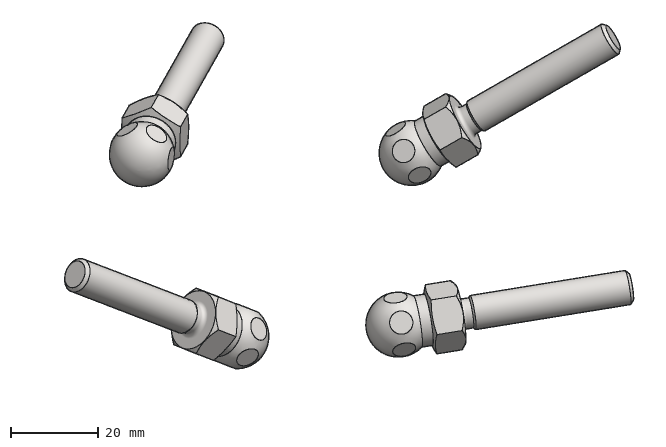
import cadquery as cq
import math

total_length = 62.0
across_flats = 14.0
ball_radius = 7.5
neck_radius = 6.0
hex_front = 14.5
hex_back = 22.0
front_chamfer_radius = 6.1
front_chamfer_depth = 0.7
back_chamfer_radius = 6.95
back_chamfer_depth = 0.9
undercut_radius = 3.55
undercut_fillet = 1.0
shank_diameter = 8.0
shank_start = 24.5
shank_tip_chamfer = 0.8

across_corners = across_flats / math.cos(math.radians(30))
corner_radius = across_corners / 2
ball_neck_y = ball_radius + math.sqrt(ball_radius**2 - neck_radius**2)
shank_radius = shank_diameter / 2
shank_root_chamfer = shank_radius - undercut_radius


def hex_prism(start, end):
    """Hexagonal bar along Y with corners at the top and bottom."""
    section = cq.Workplane("XZ", origin=(0, start, 0)).transformed(rotate=(0, 0, 90))
    return section.polygon(6, across_corners).extrude(start - end)


def revolve_about_y(profile):
    return profile.close().revolve(360, (0, 0, 0), (0, 1, 0))


ball_mid_angle = math.radians(45)
ball_mid = (
    ball_radius * math.sin(ball_mid_angle),
    ball_radius * (1 - math.cos(ball_mid_angle)),
)
ball = revolve_about_y(
    cq.Workplane("XY")
    .moveTo(0, 0)
    .threePointArc(ball_mid, (neck_radius, ball_neck_y))
    .lineTo(neck_radius, hex_front)
    .lineTo(0, hex_front)
).intersect(hex_prism(0, hex_front))

turned_blank = revolve_about_y(
    cq.Workplane("XY")
    .moveTo(0, hex_front)
    .lineTo(front_chamfer_radius, hex_front)
    .lineTo(corner_radius, hex_front + front_chamfer_depth)
    .lineTo(corner_radius, hex_back - back_chamfer_depth)
    .lineTo(back_chamfer_radius, hex_back)
    .lineTo(0, hex_back)
)
hexagon = hex_prism(hex_front, hex_back).intersect(turned_blank)

fillet_center = (undercut_radius + undercut_fillet, hex_back + undercut_fillet)
fillet_reach = undercut_fillet * math.sqrt(0.5)
shank = revolve_about_y(
    cq.Workplane("XY")
    .moveTo(0, hex_back)
    .lineTo(fillet_center[0], hex_back)
    .threePointArc(
        (fillet_center[0] - fillet_reach, fillet_center[1] - fillet_reach),
        (undercut_radius, fillet_center[1]),
    )
    .lineTo(undercut_radius, shank_start)
    .lineTo(shank_radius, shank_start + shank_root_chamfer)
    .lineTo(shank_radius, total_length - shank_tip_chamfer)
    .lineTo(shank_radius - shank_tip_chamfer, total_length)
    .lineTo(0, total_length)
)

result = ball.union(hexagon).union(shank)